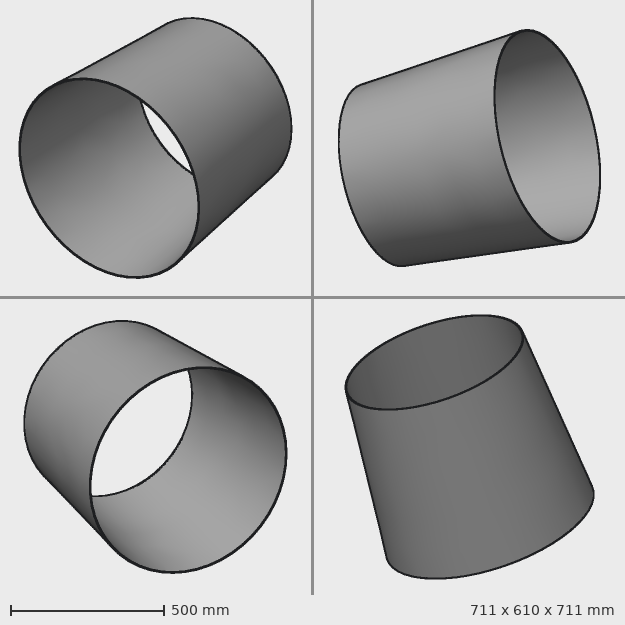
import cadquery as cq

large_diameter = 711.0
small_diameter = 609.5
length = 610.0
wall = 4.0

large_radius = large_diameter / 2
small_radius = small_diameter / 2

wall_section = (
    cq.Workplane("XY")
    .moveTo(large_radius, 0)
    .lineTo(small_radius, length)
    .lineTo(small_radius - wall, length)
    .lineTo(large_radius - wall, 0)
    .close()
)

result = wall_section.revolve(360, (0, 0, 0), (0, 1, 0))